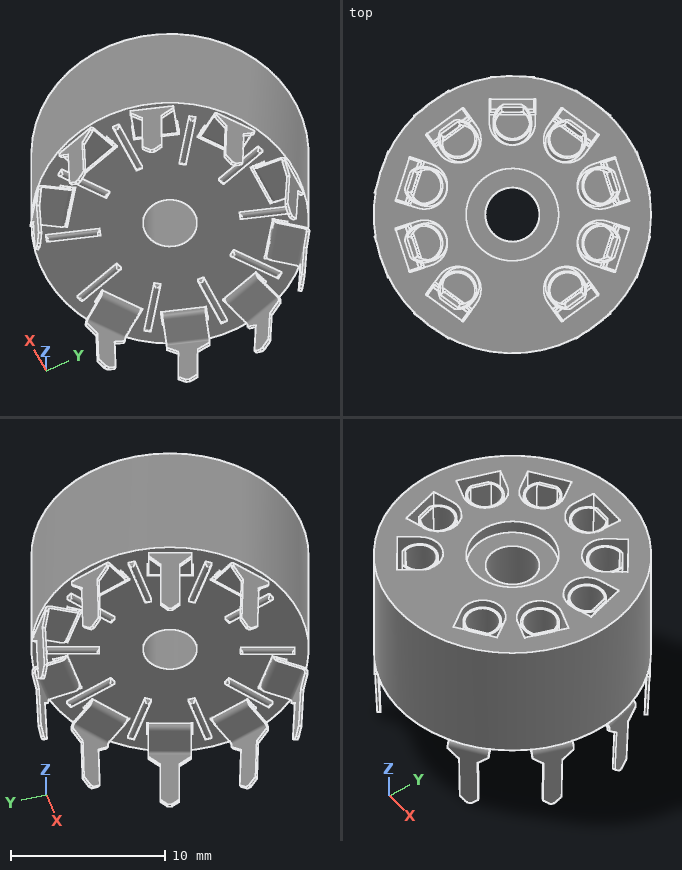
import cadquery as cq
import math

housing_diameter = 18.0
housing_height = 9.0
total_height = 14.56
bore_diameter = 3.5
counterbore_diameter = 6.0
counterbore_depth = 1.0

place_count = 10
place_pitch = 360.0 / place_count
empty_place_angle = -90.0
contact_angles = [empty_place_angle + place_pitch * i for i in range(1, place_count)]

pocket_radius = 1.5
pocket_center_r = 6.0
pocket_outer_r = pocket_center_r + pocket_radius
pocket_floor_z = 0.72
slot_inner_r = 6.5

rib_width = 0.43
rib_height = 0.32
rib_inner_r = 4.57
rib_outer_r = 8.1
rib_fillet = 0.18

sheet = 0.2
contact_tilt = 2.2
foot_r = 6.82
foot_z = -0.05
contact_width = 2.8
strip_top = 0.54

sleeve_bottom = 1.08
sleeve_top = 8.64
sleeve_outer_radius = 1.25
sleeve_inner_radius = 1.13
sleeve_axis_x = -1.1

tongue_slope = 3.3
foot_bend_radius = 0.15
leg_bend_radius = 0.2
leg_outer_x = 2.15
leg_half_width = 0.63
tip_half_width = 0.13
shoulder_z = -0.63

tilt = math.radians(contact_tilt)
tip_drop = total_height - housing_height + foot_z
leg_tip_z = -(tip_drop - leg_outer_x * math.sin(tilt)) / math.cos(tilt)


def pocket_cut():
    """Material removed for one contact, on the +X axis."""
    square_end = cq.Workplane("XY").box(
        pocket_radius, 2 * pocket_radius, housing_height - pocket_floor_z, centered=(False, True, False)
    ).translate((pocket_center_r, 0, pocket_floor_z))
    round_end = (
        cq.Workplane("XY", origin=(pocket_center_r, 0, pocket_floor_z))
        .circle(pocket_radius)
        .extrude(housing_height - pocket_floor_z)
    )
    floor_slot = cq.Workplane("XY").box(
        pocket_outer_r - slot_inner_r, 2 * pocket_radius, housing_height, centered=(False, True, False)
    ).translate((slot_inner_r, 0, 0))
    return square_end.union(round_end).union(floor_slot)


def standoff_rib():
    """One radial rib under the housing, on the +X axis, with rounded lower edges."""
    return (
        cq.Workplane("XY")
        .box(rib_outer_r - rib_inner_r, rib_width, rib_height, centered=(False, True, False))
        .faces("<Z").edges().fillet(rib_fillet)
        .translate((rib_inner_r, 0, -rib_height))
    )


def make_housing():
    """Round body with stepped bore, contact pockets and standoff ribs."""
    body = cq.Workplane("XY").circle(housing_diameter / 2).extrude(housing_height)
    body = body.faces(">Z").workplane().cboreHole(bore_diameter, counterbore_diameter, counterbore_depth)
    pocket = pocket_cut()
    for angle in contact_angles:
        body = body.cut(pocket.rotate((0, 0, 0), (0, 0, 1), angle))
    rib = standoff_rib()
    for i in range(place_count):
        body = body.union(rib.rotate((0, 0, 0), (0, 0, 1), i * place_pitch))
    return body


def round_corner(sheet_body, corner, radius):
    """Round the edge along Y that passes through an (x, z) corner."""
    x, z = corner
    edge = sheet_body.edges("|Y").edges(cq.NearestToPointSelector((x, 0, z)))
    return edge.fillet(radius)


def bent_strip():
    """Upright strip, sloping tongue and leg: one sheet with two bends."""
    slope = math.radians(tongue_slope)

    def tongue_top(x):
        return -x * math.tan(slope)

    def tongue_bottom(x):
        return tongue_top(x) - sheet / math.cos(slope)

    leg_inner_x = leg_outer_x - sheet
    foot_inside = (0, tongue_top(0))
    foot_outside = (-sheet, tongue_bottom(-sheet))
    leg_outside = (leg_outer_x, tongue_top(leg_outer_x))
    leg_inside = (leg_inner_x, tongue_bottom(leg_inner_x))
    body = (
        cq.Workplane("XZ")
        .polyline([
            (0, strip_top),
            foot_inside,
            leg_outside,
            (leg_outer_x, leg_tip_z),
            (leg_inner_x, leg_tip_z),
            leg_inside,
            foot_outside,
            (-sheet, strip_top),
        ])
        .close()
        .extrude(contact_width / 2, both=True)
    )
    body = round_corner(body, foot_inside, foot_bend_radius)
    body = round_corner(body, foot_outside, foot_bend_radius + sheet)
    body = round_corner(body, leg_inside, leg_bend_radius)
    return round_corner(body, leg_outside, leg_bend_radius + sheet)


def strip_outline():
    """Block with the sheet's outline along X: full width above, narrow pointed leg below."""
    half_width = contact_width / 2
    shoulder_end_z = shoulder_z - (half_width - leg_half_width)
    point_start_z = leg_tip_z + (leg_half_width - tip_half_width)
    right_side = [
        (half_width, strip_top),
        (half_width, shoulder_z),
        (leg_half_width, shoulder_end_z),
        (leg_half_width, point_start_z),
        (tip_half_width, leg_tip_z),
    ]
    left_side = [(-y, z) for y, z in reversed(right_side)]
    margin = sheet
    inner_x = -sheet - margin
    return (
        cq.Workplane("YZ", origin=(inner_x, 0, 0))
        .polyline(right_side + left_side)
        .close()
        .extrude(leg_outer_x + margin - inner_x)
    )


def flat_sided_cylinder(radius, flat_x, bottom, top):
    """Cylinder on the sleeve axis, cut off by a flat at flat_x."""
    cylinder = cq.Workplane("XY", origin=(sleeve_axis_x, 0, bottom)).circle(radius).extrude(top - bottom)
    keep = cq.Workplane("XY").box(
        2 * radius, 2 * radius, top - bottom, centered=(False, True, False)
    ).translate((flat_x - 2 * radius, 0, bottom))
    return cylinder.intersect(keep)


def sleeve():
    """Thin sleeve with a flat outer side, joined to the strip below by a web."""
    tube = flat_sided_cylinder(sleeve_outer_radius, 0, sleeve_bottom, sleeve_top).cut(
        flat_sided_cylinder(sleeve_inner_radius, -sheet, sleeve_bottom, sleeve_top)
    )
    web_width = 2 * math.sqrt(sleeve_outer_radius**2 - sleeve_axis_x**2)
    web = cq.Workplane("XY").box(
        sheet, web_width, sleeve_bottom - strip_top, centered=(False, True, False)
    ).translate((-sheet, 0, strip_top))
    return tube.union(web)


def make_contact(angle):
    """One contact, tilted and turned to its place on the circle."""
    contact = bent_strip().intersect(strip_outline()).union(sleeve())
    contact = contact.rotate((0, 0, 0), (0, 1, 0), contact_tilt)
    contact = contact.translate((foot_r, 0, foot_z))
    return contact.rotate((0, 0, 0), (0, 0, 1), angle)


housing = make_housing()
contacts = [make_contact(angle) for angle in contact_angles]

result = cq.Compound.makeCompound([
    housing.solids().val(),
    *[contact.solids().val() for contact in contacts],
])